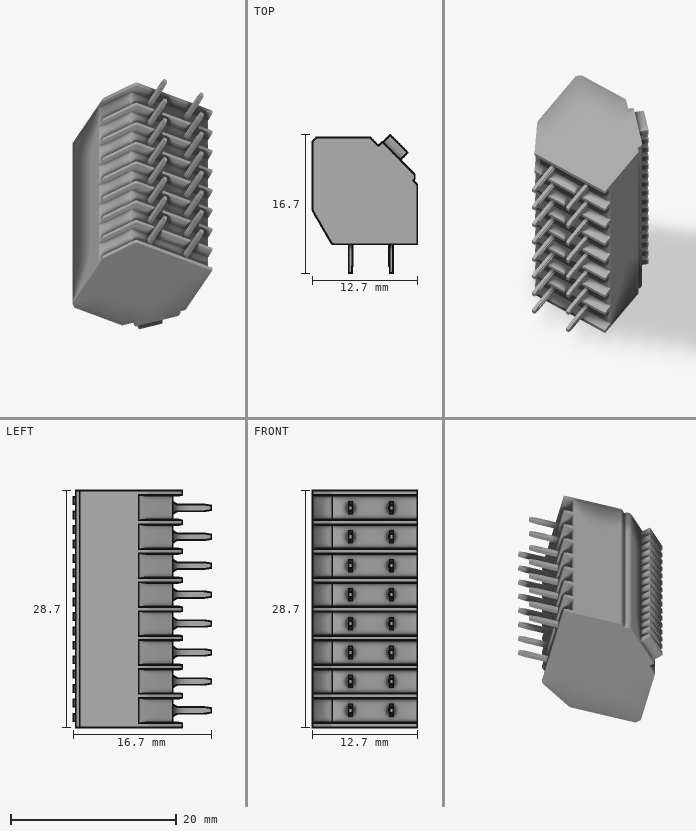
import cadquery as cq
import math

cell_count = 8
cell_pitch = 3.5
rib_thickness = 0.7
housing_height = cell_count * cell_pitch + rib_thickness

housing_width = 12.7
housing_depth = 12.92
back_left_chamfer = 0.5
front_slope_angle = 60
front_slope_width = 2.38
front_slope_rise = front_slope_width * math.tan(math.radians(front_slope_angle))

back_face_end_x = 7.0
notch_depth = 1.0
notch_x = back_face_end_x + notch_depth
notch_y = housing_depth - notch_depth
slope_start_x = 8.47
slope_start_y = notch_y + slope_start_x - notch_x
slope_length_x = 3.8
slope_end_x = slope_start_x + slope_length_x
slope_end_y = slope_start_y - slope_length_x
bead_peak = (12.42, 8.15)
bead_end = (12.23, 7.7)
side_face_end_y = bead_end[1] + bead_end[0] - housing_width

core_front_y = 1.17
core_slope_start_y = 5.3

end_rib_thickness = 0.65
rib_tip_narrowing = 0.12
rib_taper_depth = 0.55
rib_taper_angle = math.degrees(math.atan2(rib_taper_depth, rib_tip_narrowing))
rib_front_corner_radius = 0.4
rib_left_corner_radius = 0.9
rib_back_y = 6.5

button_length = 3.0
button_height = 1.26
button_setback = 0.08
button_thickness = 0.9
button_pitch = cell_pitch / 2
buttons_per_cell = 2

pin_length = 3.5
pin_thickness = 0.42
pin_root_width = 1.46
pin_width = 0.83
pin_tip_width = 0.55
pin_shoulder_length = 0.5
pin_taper_length = 0.85
pin_embed = 0.3
pin_centers_x = (4.6, 9.56)
ridge_height = 0.1
ridge_width = 0.37


def cell_center_z(index):
    return rib_thickness / 2 + (index + 0.5) * cell_pitch


def make_core():
    """Housing without ribs, running the full height."""
    slope_drop = core_slope_start_y - core_front_y
    core_corner_x = slope_drop / math.tan(math.radians(front_slope_angle))
    return (
        cq.Workplane("XY")
        .moveTo(core_corner_x, core_front_y)
        .lineTo(housing_width, core_front_y)
        .lineTo(housing_width, side_face_end_y)
        .lineTo(*bead_end)
        .threePointArc(bead_peak, (slope_end_x, slope_end_y))
        .lineTo(slope_start_x, slope_start_y)
        .lineTo(notch_x, notch_y)
        .lineTo(back_face_end_x, housing_depth)
        .lineTo(back_left_chamfer, housing_depth)
        .lineTo(0, housing_depth - back_left_chamfer)
        .lineTo(0, core_slope_start_y)
        .close()
        .extrude(housing_height)
    )


def rib_outline(base_z, margin=0):
    """Sharp-cornered rib outline; the margin extends it to the right and to the back."""
    return (
        cq.Workplane("XY", origin=(0, 0, base_z))
        .moveTo(front_slope_width, 0)
        .lineTo(housing_width + margin, 0)
        .lineTo(housing_width + margin, rib_back_y + margin)
        .lineTo(0, rib_back_y + margin)
        .lineTo(0, front_slope_rise)
        .close()
    )


def make_rib(thickness, taper_top, taper_bottom):
    """Rib standing on z = 0, thinning towards its outer edges on the chosen faces."""
    front_corner = cq.selectors.NearestToPointSelector((front_slope_width, 0, thickness / 2))
    left_corner = cq.selectors.NearestToPointSelector((0, front_slope_rise, thickness / 2))
    rounded = rib_outline(0).extrude(thickness)
    rounded = rounded.edges(front_corner).fillet(rib_front_corner_radius)
    rounded = rounded.edges(left_corner).fillet(rib_left_corner_radius)

    margin = 2 * rib_taper_depth
    straight_bottom = rib_tip_narrowing if taper_bottom else 0
    straight_top = thickness - (rib_tip_narrowing if taper_top else 0)
    tapered = rib_outline(straight_bottom, margin).extrude(straight_top - straight_bottom)
    if taper_top:
        cap = rib_outline(straight_top, margin).extrude(rib_tip_narrowing, taper=rib_taper_angle)
        tapered = tapered.union(cap)
    if taper_bottom:
        cap = rib_outline(straight_bottom, margin).extrude(-rib_tip_narrowing, taper=rib_taper_angle)
        tapered = tapered.union(cap)
    return rounded.intersect(tapered)


def make_button():
    """Push button centred on z = 0, standing on the 45 degree back slope."""
    slope = cq.Plane(
        origin=(slope_start_x, slope_start_y, 0), xDir=(1, -1, 0), normal=(0, 0, 1)
    )
    return (
        cq.Workplane(slope)
        .center(button_setback + button_length / 2, 0)
        .rect(button_length, 2 * button_height)
        .extrude(button_thickness / 2, both=True)
    )


def make_pin(ridge_side):
    """Pin centred on x = z = 0; ridge_side is +1 or -1, the X side carrying the ridge."""
    taper_start_y = pin_taper_length - pin_length
    root_y = core_front_y + pin_embed
    half_outline = [
        (root_y, pin_root_width / 2),
        (core_front_y, pin_root_width / 2),
        (core_front_y - pin_shoulder_length, pin_width / 2),
        (taper_start_y, pin_width / 2),
        (-pin_length, pin_tip_width / 2),
    ]
    mirrored_outline = [(y, -z) for y, z in reversed(half_outline)]
    blade = (
        cq.Workplane("YZ")
        .polyline(half_outline + mirrored_outline)
        .close()
        .extrude(pin_thickness / 2, both=True)
    )
    ridge_reach = pin_thickness / 2 + ridge_height
    ridge_length = root_y - taper_start_y
    ridge_center = (ridge_side * ridge_reach / 2, root_y - ridge_length / 2, 0)
    ridge = cq.Workplane("XY").box(ridge_reach, ridge_length, ridge_width).translate(ridge_center)
    return blade.union(ridge)


housing = make_core()

housing = housing.union(make_rib(end_rib_thickness, taper_top=True, taper_bottom=False))
middle_rib = make_rib(rib_thickness, taper_top=True, taper_bottom=True)
for index in range(1, cell_count):
    housing = housing.union(middle_rib.translate((0, 0, index * cell_pitch)))
top_rib = make_rib(end_rib_thickness, taper_top=False, taper_bottom=True)
housing = housing.union(top_rib.translate((0, 0, housing_height - end_rib_thickness)))

button = make_button()
left_pin = make_pin(1).translate((pin_centers_x[0], 0, 0))
right_pin = make_pin(-1).translate((pin_centers_x[1], 0, 0))

result = housing
for index in range(cell_count):
    center_z = cell_center_z(index)
    for position in range(buttons_per_cell):
        offset_z = (position - (buttons_per_cell - 1) / 2) * button_pitch
        result = result.union(button.translate((0, 0, center_z + offset_z)))
    result = result.union(left_pin.translate((0, 0, center_z)))
    result = result.union(right_pin.translate((0, 0, center_z)))